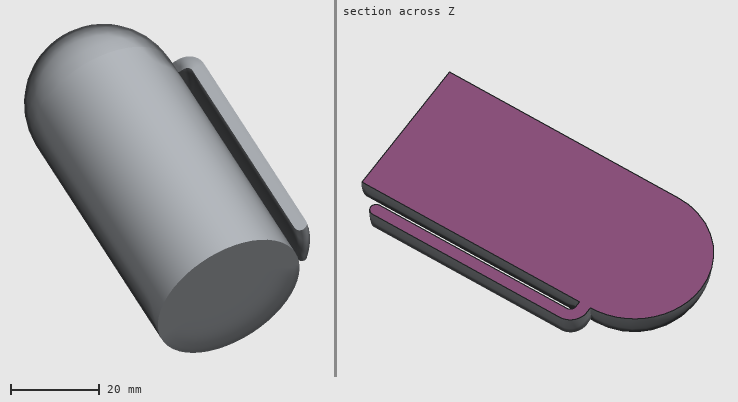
import cadquery as cq

body_diameter = 36.0
overall_length = 80.0
body_radius = body_diameter / 2
barrel_length = overall_length - body_radius

clip_thickness = 3.0
clip_outer_radius = 24.0
clip_length = 56.6
clip_angle = 30.0
bend_outer_radius = 4.5
bend_inner_radius = bend_outer_radius - clip_thickness
root_overlap = 0.8


def make_body():
    """Revolve a solid barrel with a hemispherical end about X."""
    arc_offset = body_radius * 0.5**0.5
    return (
        cq.Workplane("XY")
        .moveTo(-body_radius, 0)
        .threePointArc((-arc_offset, arc_offset), (0, body_radius))
        .lineTo(barrel_length, body_radius)
        .lineTo(barrel_length, 0)
        .close()
        .revolve(360, (0, 0, 0), (1, 0, 0))
    )


def make_clip():
    """Revolve the bent strip profile through a sector centred on +Y."""
    tip_radius = clip_thickness / 2
    inner_radius = clip_outer_radius - clip_thickness
    root_radius = body_radius - root_overlap
    tip_start = clip_length - tip_radius
    return (
        cq.Workplane("XY")
        .moveTo(0, root_radius)
        .lineTo(0, clip_outer_radius - bend_outer_radius)
        .radiusArc((bend_outer_radius, clip_outer_radius), bend_outer_radius)
        .lineTo(tip_start, clip_outer_radius)
        .threePointArc((clip_length, clip_outer_radius - tip_radius), (tip_start, inner_radius))
        .lineTo(bend_outer_radius, inner_radius)
        .radiusArc((clip_thickness, inner_radius - bend_inner_radius), -bend_inner_radius)
        .lineTo(clip_thickness, root_radius)
        .close()
        .revolve(clip_angle, (0, 0, 0), (1, 0, 0))
        .rotate((0, 0, 0), (1, 0, 0), -clip_angle / 2)
    )


result = make_body().union(make_clip())